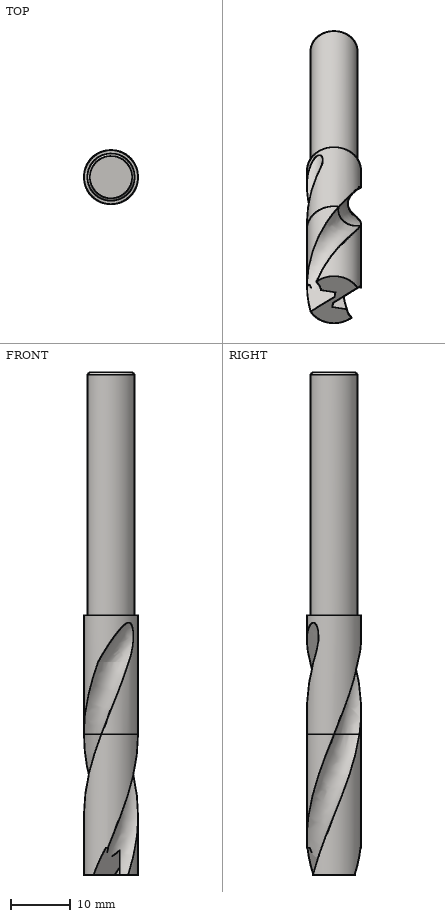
import cadquery as cq
import math

TOTAL_LENGTH = 85.0
CUTTING_RADIUS = 4.6
SHANK_RADIUS = 4.0
SHANK_CHAMFER = 0.4
STEP_HEIGHT = 43.95
SPLIT_HEIGHT = 23.8

FLUTE_COUNT = 2
FLUTE_PITCH = 71.4
FLUTE_HALF_ANGLE = 34.5
FLUTE_FLOOR_RADIUS = 2.4
FLUTE_FLOOR_SHIFT = 8.0
FLUTE_START_ANGLE = 94.5
FLUTE_TOP = 36.0
RUNOUT_SIDE_SLOPE = 0.65
RUNOUT_OUT_SLOPE = 0.14
CLEARANCE = 1.7

GASH_HEIGHT = 4.7
GASH_BOTTOM_X = -3.0
GASH_TOP_X = -0.85
GASH_END_X = 1.45
GASH_DEEP_Y = 0.85

FLUTE_SPACING = 360.0 / FLUTE_COUNT
FLUTE_TWIST = 360.0 * FLUTE_TOP / FLUTE_PITCH
ORIGIN = cq.Vector(0, 0, 0)
UP = cq.Vector(0, 0, 1)


def polar(radius, degrees, z):
    angle = math.radians(degrees)
    return cq.Vector(radius * math.cos(angle), radius * math.sin(angle), z)


def flute_profile(middle_angle, z):
    """Closed flute section: a round floor, open beyond the outside of the drill."""
    start = middle_angle - FLUTE_HALF_ANGLE
    end = middle_angle + FLUTE_HALF_ANGLE
    outer = CUTTING_RADIUS + CLEARANCE
    edge_start = polar(CUTTING_RADIUS, start, z)
    edge_end = polar(CUTTING_RADIUS, end, z)
    floor = polar(FLUTE_FLOOR_RADIUS, middle_angle + FLUTE_FLOOR_SHIFT, z)
    outer_start = polar(outer, start, z)
    outer_end = polar(outer, end, z)
    return cq.Wire.assembleEdges([
        cq.Edge.makeThreePointArc(edge_start, floor, edge_end),
        cq.Edge.makeLine(edge_end, outer_end),
        cq.Edge.makeThreePointArc(outer_end, polar(outer, middle_angle, z), outer_start),
        cq.Edge.makeLine(outer_start, edge_start),
    ])


def helical_cutter(start_angle):
    """Twisted part of one flute."""
    return cq.Solid.extrudeLinearWithRotation(
        flute_profile(start_angle, 0), [], ORIGIN, UP * FLUTE_TOP, FLUTE_TWIST)


def runout_cutter(start_angle):
    """Straight end of one flute, rising out through the surface."""
    angle = start_angle + FLUTE_TWIST
    rise = STEP_HEIGHT - FLUTE_TOP
    outward = polar(RUNOUT_OUT_SLOPE, angle, 0)
    sideways = polar(RUNOUT_SIDE_SLOPE, angle + 90, 0)
    return cq.Solid.extrudeLinear(flute_profile(angle, FLUTE_TOP), [], (outward + sideways + UP) * rise)


def surface_y(x):
    """Front Y of the cutting cylinder at a given X."""
    return -math.sqrt(CUTTING_RADIUS ** 2 - x ** 2)


def gash_cutter():
    """Wedge in front of the sloping gash face, closed by a wall facing -X and ending at the axis."""
    bottom = cq.Vector(GASH_BOTTOM_X, surface_y(GASH_BOTTOM_X), 0)
    top = cq.Vector(GASH_TOP_X, surface_y(GASH_TOP_X), GASH_HEIGHT)
    deep = cq.Vector(GASH_END_X, GASH_DEEP_Y, 0)
    normal = (deep - bottom).cross(top - bottom)
    face_plane = cq.Plane(bottom, deep - bottom, normal)
    size = 4 * CUTTING_RADIUS
    in_front = cq.Workplane(face_plane).rect(size, size).extrude(size)
    limit = cq.Workplane().box(GASH_END_X - GASH_BOTTOM_X, CUTTING_RADIUS + CLEARANCE, GASH_HEIGHT,
                               centered=False)
    limit = limit.translate((GASH_BOTTOM_X, -CUTTING_RADIUS - CLEARANCE, 0))
    return in_front.intersect(limit)


def make_tip():
    tip = cq.Workplane().circle(CUTTING_RADIUS).extrude(SPLIT_HEIGHT)
    for i in range(FLUTE_COUNT):
        turn = i * FLUTE_SPACING
        tip = tip.cut(cq.Workplane(helical_cutter(FLUTE_START_ANGLE + turn)))
        tip = tip.cut(gash_cutter().rotate((0, 0, 0), (0, 0, 1), turn))
    return tip


def make_holder():
    holder = cq.Workplane().workplane(offset=SPLIT_HEIGHT).circle(CUTTING_RADIUS)
    holder = holder.extrude(STEP_HEIGHT - SPLIT_HEIGHT)
    for i in range(FLUTE_COUNT):
        angle = FLUTE_START_ANGLE + i * FLUTE_SPACING
        holder = holder.cut(cq.Workplane(helical_cutter(angle)))
        holder = holder.cut(cq.Workplane(runout_cutter(angle)))
    shank = cq.Workplane().workplane(offset=STEP_HEIGHT).circle(SHANK_RADIUS)
    shank = shank.extrude(TOTAL_LENGTH - STEP_HEIGHT).faces(">Z").chamfer(SHANK_CHAMFER)
    return holder.union(shank)


tip = make_tip()
holder = make_holder()
result = cq.Compound.makeCompound([tip.val(), holder.val()])